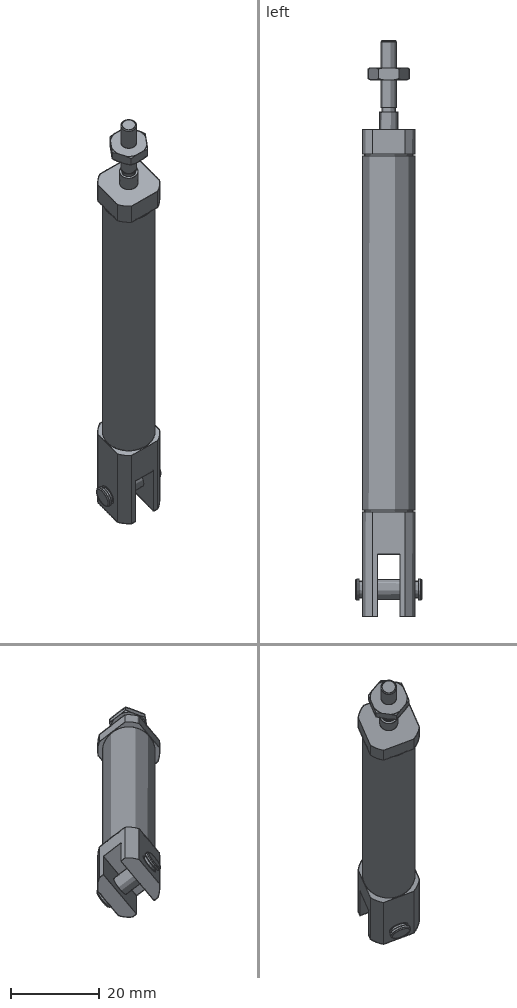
import cadquery as cq
import math

total_height = 130.0
clevis_top = 23.7
cap_bottom = 104.4
cap_top = 110.0

bar_width = 12.0
bar_corner_diameter = 14.0
slot_width = 5.1
slot_height = 14.0

tube_diameter = bar_width
groove_height = 0.4
groove_diameter = 10.9

rod_diameter = 4.2
rod_top = 113.9
neck_diameter = 3.1
neck_height = 1.0
thread_diameter = 3.5
tip_chamfer = 0.3

nut_sides = 6
nut_width = 8.0
nut_face_diameter = 8.3
nut_bottom = 121.2
nut_height = 2.7
nut_chamfer_angle = 30.0

pin_diameter = 4.5
pin_length = 15.0
pin_height = 6.1
pin_neck_diameter = 3.8
head_diameter = 4.8
head_thickness = 0.8
head_chamfer = 0.3


def cylinder(diameter, bottom, top):
    """Vertical cylinder on the main axis."""
    return cq.Workplane("XY").workplane(offset=bottom).circle(diameter / 2).extrude(top - bottom)


def end_block(bottom, top):
    """Square bar whose corners lie on a circle around the axis."""
    square = cq.Workplane("XY").workplane(offset=bottom).rect(bar_width, bar_width).extrude(top - bottom)
    return square.intersect(cylinder(bar_corner_diameter, bottom, top))


def make_clevis():
    """Lower end block, slotted from below and bored across for the pin."""
    slot = cq.Workplane("XY").rect(bar_width, slot_width).extrude(slot_height)
    bore = (
        cq.Workplane("XZ", origin=(0, bar_width / 2, pin_height))
        .circle(pin_diameter / 2)
        .extrude(bar_width)
    )
    return end_block(0, clevis_top).cut(slot).cut(bore)


def make_tube():
    """Tube body with a relief groove at each end."""
    core = cylinder(groove_diameter, clevis_top, cap_bottom)
    sleeve = cylinder(tube_diameter, clevis_top + groove_height, cap_bottom - groove_height)
    return core.union(sleeve)


def make_rod():
    """Piston rod standing on the end cap, with a chamfered threaded tip."""
    neck_top = rod_top + neck_height
    shank = cylinder(rod_diameter, cap_top, rod_top)
    neck = cylinder(neck_diameter, rod_top, neck_top)
    thread = cylinder(thread_diameter, neck_top, total_height).faces(">Z").chamfer(tip_chamfer)
    return shank.union(neck).union(thread)


def make_housing():
    """Clevis, tube, end cap and piston rod as one body."""
    cap = end_block(cap_bottom, cap_top)
    return make_clevis().union(make_tube()).union(cap).union(make_rod())


def make_nut():
    """Hexagon nut with corners toward +Y and -Y, chamfered top and bottom, bored for the thread."""
    face_radius = nut_face_diameter / 2
    corner_radius = nut_width / 2 / math.cos(math.pi / nut_sides)
    chamfer_drop = (corner_radius - face_radius) * math.tan(math.radians(nut_chamfer_angle))
    nut_top = nut_bottom + nut_height
    corner_angles = [2 * math.pi * index / nut_sides for index in range(nut_sides)]
    corners = [(corner_radius * math.sin(angle), corner_radius * math.cos(angle)) for angle in corner_angles]
    hexagon = cq.Workplane("XY").workplane(offset=nut_bottom).polyline(corners).close().extrude(nut_height)
    chamfer_envelope = (
        cq.Workplane("XZ")
        .moveTo(0, nut_bottom)
        .lineTo(face_radius, nut_bottom)
        .lineTo(corner_radius, nut_bottom + chamfer_drop)
        .lineTo(corner_radius, nut_top - chamfer_drop)
        .lineTo(face_radius, nut_top)
        .lineTo(0, nut_top)
        .close()
        .revolve(360, (0, 0, 0), (0, 1, 0))
    )
    return hexagon.intersect(chamfer_envelope).cut(cylinder(thread_diameter, nut_bottom, nut_top))


def make_pin():
    """Pin along Y: plain shank inside the clevis, then a neck and a chamfered head at each end."""
    end = pin_length / 2
    head_start = end - head_thickness
    shank_end = bar_width / 2
    upper_side = [
        (pin_diameter / 2, shank_end),
        (pin_neck_diameter / 2, shank_end),
        (pin_neck_diameter / 2, head_start),
        (head_diameter / 2, head_start),
        (head_diameter / 2, end - head_chamfer),
        (head_diameter / 2 - head_chamfer, end),
        (0, end),
    ]
    lower_side = [(radius, -y) for radius, y in reversed(upper_side)]
    profile = cq.Workplane("XY").polyline(lower_side + upper_side).close()
    return profile.revolve(360, (0, 0, 0), (0, 1, 0)).translate((0, 0, pin_height))


housing = make_housing()
nut = make_nut()
pin = make_pin()
result = cq.Compound.makeCompound([housing.val(), nut.val(), pin.val()])